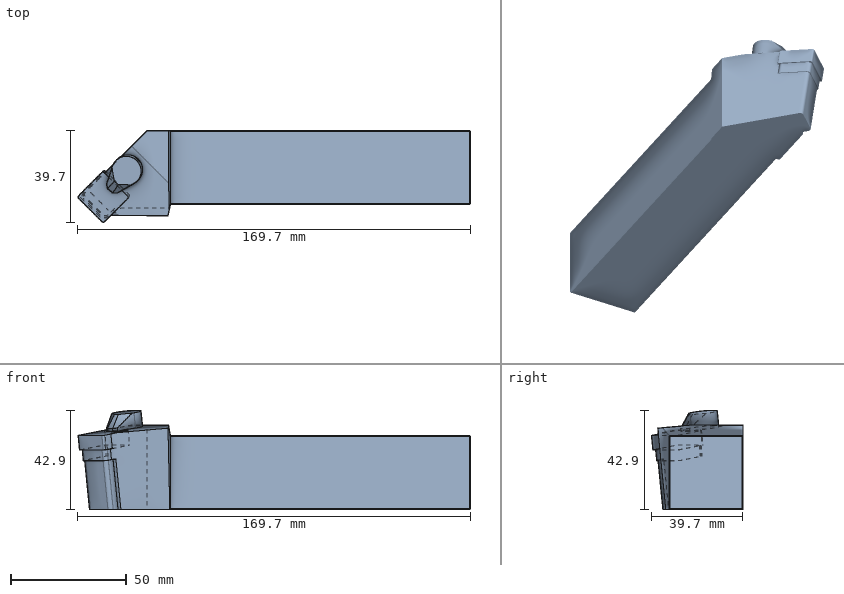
import cadquery as cq
import math


tool_length = 170.0
shank_size = 32.0
shank_chamfer = 0.4

insert_side = 15.875
insert_thickness = 6.35
insert_corner_radius = 0.8
shim_thickness = 4.76
shim_inset = 0.6
column_inset = 1.0
seat_corner_radius = 1.6
tool_width = 40.0
rake_angle = 8.0

head_height = 36.5
top_slope_angle = 7.3
top_slope_start_x = 16.8
head_end_x = 40.3
head_end_top_x = 39.5
head_end_front_x = 39.2
front_y_top = -37.05
front_y_bottom = -33.45
wedge_trim = 5.5

clamp_radius = 6.4
clamp_height = 6.74
clamp_center_across = 7.05
clamp_center_back = 24.15
clamp_turn = 5.0
nose_reach = 12.0
nose_half_width = 2.6
nose_front_top_reach = 6.8
nose_side_top_reach = 5.95
nose_side_foot_reach = 10.2
nose_side_angle = 39.6
nose_lip = 1.3

edge_run = insert_side / math.sqrt(2)
left_corner_y = -tool_width + edge_run
seat_floor = -(insert_thickness + shim_thickness)
reach = 100.0


def leaning_frame(origin, angle):
    """Frame with a horizontal x axis along (1, -1, 0) and a y axis climbing back by `angle` degrees."""
    lean = math.sin(math.radians(angle)) / math.sqrt(2)
    upright = math.cos(math.radians(angle))
    return cq.Plane(origin=origin, xDir=(1, -1, 0), normal=(-lean, -lean, upright))


seat = leaning_frame((0, left_corner_y, shank_size), rake_angle)
seat_axis_edges = cq.selectors.ParallelDirSelector(seat.zDir)

top_slope = leaning_frame((top_slope_start_x, 0, head_height), top_slope_angle)


def frame_box(frame, x_range, y_range, z_range):
    """Box given by its ranges along the three axes of a frame."""
    size = [high - low for low, high in (x_range, y_range, z_range)]
    box = cq.Workplane(frame).box(*size, centered=False)
    start = cq.Vector(x_range[0], y_range[0], z_range[0])
    return box.translate(frame.toWorldCoords(start) - frame.origin)


def seat_block(inset, corner_radius, top, bottom):
    """Rounded square block on the seat axis, set in from the insert's sides by `inset`."""
    middle = insert_side / 2
    side = insert_side - 2 * inset
    return (
        cq.Workplane(seat)
        .workplane(offset=bottom)
        .center(middle, middle)
        .rect(side, side)
        .extrude(top - bottom)
        .edges(seat_axis_edges)
        .fillet(corner_radius)
    )


def make_shank():
    shank = cq.Workplane("XY").box(tool_length - head_end_x, shank_size, shank_size, centered=False)
    shank = shank.translate((head_end_x, -shank_size, 0))
    return shank.edges("|X or >X").chamfer(shank_chamfer)


def make_pocket(wall, corner_radius, bottom, top):
    """Pocket open to the front and the left, with its two walls at the distance `wall`."""
    pocket = frame_box(seat, (-reach, wall), (-reach, wall), (bottom, top))
    inner_corner = cq.NearestToPointSelector(seat.toWorldCoords((wall, wall, bottom)).toTuple())
    return pocket.edges(seat_axis_edges).edges(inner_corner).fillet(corner_radius)


def make_head():
    flank_x = -left_corner_y + column_inset * math.sqrt(2)
    plan = (
        cq.Workplane("XY")
        .polyline([
            (flank_x, 0),
            (head_end_x, 0),
            (head_end_x, -shank_size),
            (head_end_front_x, front_y_top),
            (flank_x + front_y_top, front_y_top),
        ])
        .close()
        .extrude(head_height)
    )
    end_profile = (
        cq.Workplane("XZ")
        .polyline([
            (0, 0),
            (head_end_x, 0),
            (head_end_x, shank_size),
            (head_end_top_x, head_height),
            (0, head_height),
        ])
        .close()
        .extrude(tool_width)
    )
    front_profile = (
        cq.Workplane("YZ")
        .polyline([
            (0, 0),
            (front_y_bottom, 0),
            (front_y_top, head_height),
            (0, head_height),
        ])
        .close()
        .extrude(head_end_x)
    )
    head = plan.intersect(end_profile).intersect(front_profile)
    head = head.cut(frame_box(top_slope, (-reach, reach), (-reach, 0), (0, reach)))
    head = head.cut(make_pocket(insert_side, insert_corner_radius, -insert_thickness, reach))
    shim_wall = insert_side - shim_inset
    head = head.cut(make_pocket(shim_wall, seat_corner_radius, seat_floor, 0))
    return head.cut(frame_box(seat, (-reach, reach), (-reach, wedge_trim), (-reach, seat_floor)))


def make_seat_support():
    shim = seat_block(shim_inset, seat_corner_radius, -insert_thickness, seat_floor)
    column = seat_block(column_inset, seat_corner_radius, seat_floor, -2 * shank_size)
    below_bottom = cq.Workplane("XY").box(2 * reach, 2 * reach, reach, centered=(True, True, False))
    column = column.cut(below_bottom.translate((0, 0, -reach)))
    return shim.union(column)


def nose_bevel(turn, foot_reach, top_reach):
    """Wide block bounded by one sloping nose face, turned about the clamp's axis."""
    return (
        cq.Workplane("XZ")
        .polyline([
            (-reach, 0),
            (foot_reach, 0),
            (foot_reach, nose_lip),
            (top_reach, clamp_height),
            (-reach, clamp_height),
        ])
        .close()
        .extrude(reach, both=True)
        .rotate((0, 0, 0), (0, 0, 1), turn)
    )


def make_clamp():
    tip_distance = math.hypot(nose_reach, nose_half_width)
    tangent_angle = math.atan2(nose_half_width, nose_reach) + math.acos(clamp_radius / tip_distance)
    tangent_x = clamp_radius * math.cos(tangent_angle)
    tangent_y = clamp_radius * math.sin(tangent_angle)
    clamp = (
        cq.Workplane("XY")
        .moveTo(tangent_x, tangent_y)
        .threePointArc((-clamp_radius, 0), (tangent_x, -tangent_y))
        .lineTo(nose_reach, -nose_half_width)
        .lineTo(nose_reach, nose_half_width)
        .close()
        .extrude(clamp_height)
    )
    clamp = clamp.intersect(nose_bevel(0, nose_reach, nose_front_top_reach))
    for side in (-1, 1):
        bevel = nose_bevel(side * nose_side_angle, nose_side_foot_reach, nose_side_top_reach)
        clamp = clamp.intersect(bevel)
    clamp = clamp.rotate((0, 0, 0), (0, 0, 1), clamp_turn - 90)
    clamp = clamp.translate((clamp_center_across, clamp_center_back, 0))
    return cq.Workplane(clamp.val().moved(cq.Location(seat)))


def make_insert():
    return seat_block(0, insert_corner_radius, 0, -insert_thickness)


holder = make_shank().union(make_head()).union(make_seat_support()).union(make_clamp())
insert = make_insert()

result = cq.Compound.makeCompound([holder.val(), insert.val()])